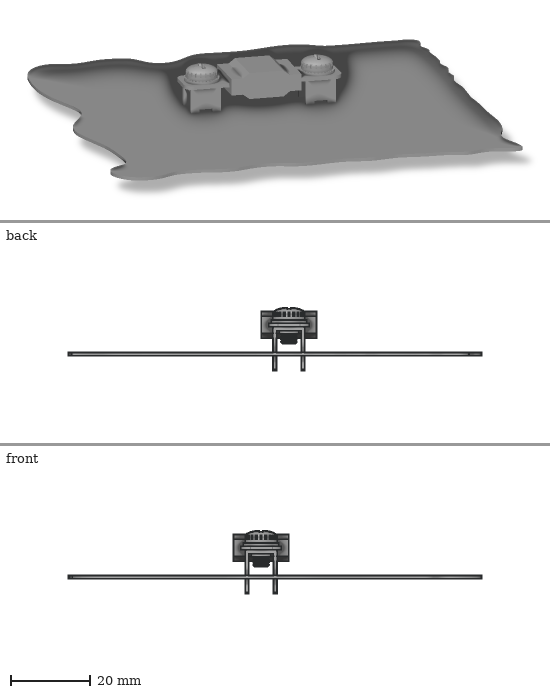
import cadquery as cq
import math


BOARD_THICKNESS = 0.8
BOARD_EDGE = [
    (-45.3, 49.4), (-44.8, 52.0), (-43.7, 53.2), (-41.4, 53.0), (-39.3, 52.4), (-37.2, 53.0),
    (-35.0, 53.7), (-33.6, 53.4), (-30.2, 53.6), (-27.3, 53.8), (-24.5, 53.7), (-22.7, 53.3),
    (-19.2, 54.1), (-17.4, 54.0), (-15.1, 53.3), (-11.3, 53.7), (-7.5, 52.7), (-2.5, 53.2),
    (4.5, 53.0), (8.0, 52.9), (12.3, 53.4), (19.4, 53.5), (25.7, 54.0), (33.6, 54.0),
    (37.1, 53.4), (42.0, 51.7), (46.0, 51.7), (49.1, 52.9), (52.6, 54.0), (54.3, 53.9),
    (54.7, 52.7), (54.3, 50.2), (53.5, 46.7), (53.7, 43.5), (54.6, 39.9), (53.7, 35.4),
    (53.4, 29.0), (52.8, 24.8), (52.6, 21.2), (53.5, 15.6), (53.4, 13.4), (52.6, 8.5),
    (52.8, 4.2), (53.5, -0.7), (53.3, -5.0), (52.0, -9.2), (51.8, -13.4), (52.3, -16.3),
    (53.4, -19.8), (53.4, -25.4), (52.6, -29.0), (52.4, -33.2), (52.8, -36.1), (54.4, -39.3),
    (55.5, -42.5), (55.5, -44.6), (54.4, -48.1), (51.2, -50.9), (47.8, -51.7), (45.2, -50.3),
    (42.4, -46.3), (39.9, -45.5), (35.7, -45.6), (26.5, -46.9), (17.7, -49.7), (10.9, -51.0),
    (5.9, -50.1), (0.3, -47.0), (-5.7, -45.1), (-9.6, -45.8), (-18.8, -49.0), (-28.0, -50.6),
    (-35.0, -50.5), (-40.8, -49.4), (-45.3, -46.7), (-47.4, -42.8), (-47.4, -41.0), (-46.4, -36.1),
    (-47.9, -29.6), (-48.1, -25.4), (-46.8, -20.9), (-42.1, -16.8), (-41.2, -14.2), (-41.6, -11.3),
    (-43.7, -8.2), (-46.4, -4.2), (-46.7, -0.7), (-46.4, 3.5), (-46.4, 8.5), (-48.2, 16.6),
    (-48.5, 21.2), (-47.6, 24.8), (-45.3, 29.0), (-45.0, 31.9), (-45.1, 38.2), (-45.3, 43.1),
]

BLADE_LENGTH = 41.1
BLADE_WIDTH = 10.2
BLADE_THICKNESS = 1.0
BLADE_CORNER_RADIUS = 2.3
BLADE_UNDERSIDE_Z = 6.5
BLADE_MID_Z = BLADE_UNDERSIDE_Z + BLADE_THICKNESS / 2
BLADE_TOP_Z = BLADE_UNDERSIDE_Z + BLADE_THICKNESS
FUSE_WIDTH = 14.0
FUSE_END_HALF_LENGTH = 9.1
FUSE_END_HALF_HEIGHT = 2.1
FUSE_SLOPE_FOOT_Y = 6.1
FUSE_MIDDLE_HALF_LENGTH = 4.4
FUSE_MIDDLE_HALF_HEIGHT = 3.4

SCREW_SPACING = 30.1
TERMINAL_WIDTH = 8.0
TERMINAL_DEPTH = 7.8
TERMINAL_THICKNESS = 1.0
TERMINAL_BEND_RADIUS = 0.3
PIN_LENGTH = 4.7
PIN_INNER_Y = 1.7
PIN_OUTER_Y = 3.4
PIN_TIP_CHAMFER = 0.4
LEG_NOTCH_HEIGHT = 0.8
COLLAR_DIAMETER = 5.0
COLLAR_HEIGHT = 0.8

WASHER_DIAMETER = 9.0
WASHER_THICKNESS = 0.8
CLEARANCE_HOLE_DIAMETER = 4.3
TOOTH_COUNT = 32
TOOTH_LENGTH = 0.4
TOOTH_HEIGHT = 0.2

SHANK_DIAMETER = 4.0
SHANK_TIP_Z = 2.2
SHANK_TIP_CHAMFER = 0.4
THREAD_ROOT_DIAMETER = 3.3
THREAD_PITCH = 0.6
HEAD_DIAMETER = 8.0
HEAD_RIM_HEIGHT = 1.5
HEAD_HEIGHT = 3.1
KNURL_COUNT = 20
KNURL_DEPTH = 0.2
KNURL_WIDTH = 0.4
KNURL_BASE_HEIGHT = 0.8
KNURL_TOP_HEIGHT = 1.9
RECESS_LENGTH = 5.1
RECESS_FLOOR_LENGTH = 3.4
RECESS_WIDTH = 1.0
RECESS_DEPTH = 1.3
RECESS_CENTRE_DIAMETER = 1.9

WASHER_TOP_Z = BLADE_TOP_Z + WASHER_THICKNESS
TERMINAL_SHOULDER_Z = BLADE_UNDERSIDE_Z - TERMINAL_THICKNESS
COLLAR_BOTTOM_Z = TERMINAL_SHOULDER_Z - COLLAR_HEIGHT


def box_between(x_range, y_range, z_range):
    """A box given by its lower and upper limits along each axis."""
    size = [high - low for low, high in (x_range, y_range, z_range)]
    corner = (x_range[0], y_range[0], z_range[0])
    return cq.Workplane("XY").box(*size, centered=False).translate(corner)


def cylinder(diameter, bottom_z, top_z):
    """A cylinder on the Z axis."""
    return cq.Workplane("XY").workplane(offset=bottom_z).circle(diameter / 2).extrude(top_z - bottom_z)


def spread_around(shape, count):
    """Copies of a shape turned about the Z axis in equal steps."""
    return [shape.rotate((0, 0, 0), (0, 0, 1), 360 / count * i) for i in range(count)]


def cut_each(body, cutters):
    """The body with every cutter removed in one step."""
    return body.cut(cq.Workplane(cq.Compound.makeCompound([cutter.val() for cutter in cutters])))


def terminal_pins():
    """The four pins of one terminal, reaching from its legs to their chamfered tips."""
    inner_x = TERMINAL_WIDTH / 2 - TERMINAL_THICKNESS
    pin = (
        box_between((inner_x, TERMINAL_WIDTH / 2), (PIN_INNER_Y, PIN_OUTER_Y), (-PIN_LENGTH, 0))
        .faces("<Z").edges("|X").chamfer(PIN_TIP_CHAMFER)
    )
    pins = pin.union(pin.mirror("XZ"))
    return pins.union(pins.mirror("YZ"))


def make_board(screw_places):
    """The board, with a slot for each terminal pin."""
    board = (
        cq.Workplane("XY").workplane(offset=-BOARD_THICKNESS)
        .spline(BOARD_EDGE, periodic=True).close().extrude(BOARD_THICKNESS)
    )
    for y in screw_places:
        board = board.cut(terminal_pins().translate((0, y, 0)))
    return board


def make_fuse(screw_places):
    """The fuse body, thicker in the middle, moulded around the flat blade."""
    upper_outline = [
        (-FUSE_END_HALF_LENGTH, FUSE_END_HALF_HEIGHT),
        (-FUSE_SLOPE_FOOT_Y, FUSE_END_HALF_HEIGHT),
        (-FUSE_MIDDLE_HALF_LENGTH, FUSE_MIDDLE_HALF_HEIGHT),
        (FUSE_MIDDLE_HALF_LENGTH, FUSE_MIDDLE_HALF_HEIGHT),
        (FUSE_SLOPE_FOOT_Y, FUSE_END_HALF_HEIGHT),
        (FUSE_END_HALF_LENGTH, FUSE_END_HALF_HEIGHT),
    ]
    lower_outline = [(y, -z) for y, z in reversed(upper_outline)]
    body = (
        cq.Workplane("YZ").polyline(upper_outline + lower_outline).close()
        .extrude(FUSE_WIDTH / 2, both=True).translate((0, 0, BLADE_MID_Z))
    )
    blade = (
        cq.Workplane("XY").workplane(offset=BLADE_UNDERSIDE_Z)
        .rect(BLADE_WIDTH, BLADE_LENGTH).extrude(BLADE_THICKNESS)
        .edges("|Z").fillet(BLADE_CORNER_RADIUS)
        .faces(">Z").workplane(origin=(0, 0, BLADE_TOP_Z))
        .pushPoints([(0, y) for y in screw_places]).hole(CLEARANCE_HOLE_DIAMETER)
    )
    return body.union(blade)


def make_terminal():
    """A bracket open along Y, standing on the board with four pins and a collar for the screw."""
    half_width = TERMINAL_WIDTH / 2
    half_depth = TERMINAL_DEPTH / 2
    inner_x = half_width - TERMINAL_THICKNESS
    bracket = box_between(
        (-half_width, half_width), (-half_depth, half_depth), (0, BLADE_UNDERSIDE_Z)
    ).edges("|Y and >Z").fillet(TERMINAL_BEND_RADIUS)
    space_between_legs = box_between(
        (-inner_x, inner_x), (-half_depth, half_depth), (0, TERMINAL_SHOULDER_Z)
    )
    leg_notch = box_between(
        (-half_width, half_width), (-PIN_INNER_Y, PIN_INNER_Y), (0, LEG_NOTCH_HEIGHT)
    )
    collar = cylinder(COLLAR_DIAMETER, COLLAR_BOTTOM_Z, TERMINAL_SHOULDER_Z)
    screw_hole = cylinder(SHANK_DIAMETER, COLLAR_BOTTOM_Z, BLADE_UNDERSIDE_Z)
    return (
        bracket.cut(space_between_legs).cut(leg_notch)
        .union(terminal_pins()).union(collar).cut(screw_hole)
    )


def make_washer():
    """A ring whose top rim is notched into teeth."""
    ring = cylinder(WASHER_DIAMETER, BLADE_TOP_Z, WASHER_TOP_Z).cut(
        cylinder(CLEARANCE_HOLE_DIAMETER, BLADE_TOP_Z, WASHER_TOP_Z)
    )
    gap_width = math.pi * WASHER_DIAMETER / TOOTH_COUNT / 2
    gap = box_between(
        (WASHER_DIAMETER / 2 - TOOTH_LENGTH, WASHER_DIAMETER / 2 + TOOTH_LENGTH),
        (-gap_width / 2, gap_width / 2),
        (WASHER_TOP_Z - TOOTH_HEIGHT, WASHER_TOP_Z),
    )
    return cut_each(ring, spread_around(gap, TOOTH_COUNT))


def screw_blank():
    """The turned shape of the screw: domed head, plain shank and ridged thread."""
    shank_radius = SHANK_DIAMETER / 2
    root_radius = THREAD_ROOT_DIAMETER / 2
    head_radius = HEAD_DIAMETER / 2
    dome_height = HEAD_HEIGHT - HEAD_RIM_HEIGHT

    profile = cq.Workplane("XZ").moveTo(0, SHANK_TIP_Z)
    profile = profile.lineTo(shank_radius - SHANK_TIP_CHAMFER, SHANK_TIP_Z)
    profile = profile.lineTo(shank_radius, SHANK_TIP_Z + SHANK_TIP_CHAMFER)
    thread_bottom_z = SHANK_TIP_Z + SHANK_TIP_CHAMFER
    ridge_count = math.floor((COLLAR_BOTTOM_Z - thread_bottom_z) / THREAD_PITCH)
    for i in range(ridge_count):
        ridge_z = thread_bottom_z + i * THREAD_PITCH
        profile = profile.lineTo(root_radius, ridge_z + THREAD_PITCH / 2)
        profile = profile.lineTo(shank_radius, ridge_z + THREAD_PITCH)
    return (
        profile.lineTo(shank_radius, WASHER_TOP_Z)
        .lineTo(head_radius, WASHER_TOP_Z)
        .lineTo(head_radius, WASHER_TOP_Z + HEAD_RIM_HEIGHT)
        .ellipseArc(head_radius, dome_height, 0, 90, sense=1)
        .close().revolve(360, (0, 0, 0), (0, 1, 0))
    )


def make_screw():
    """A screw with its cross recess and the knurl grooves around its head."""
    top_z = WASHER_TOP_Z + HEAD_HEIGHT
    floor_z = top_z - RECESS_DEPTH
    half_length = RECESS_LENGTH / 2
    half_floor = RECESS_FLOOR_LENGTH / 2
    slot = (
        cq.Workplane("XZ")
        .polyline([
            (-half_length, top_z), (half_length, top_z),
            (half_floor, floor_z), (-half_floor, floor_z),
        ])
        .close().extrude(RECESS_WIDTH / 2, both=True)
    )
    recess = (
        slot.union(slot.rotate((0, 0, 0), (0, 0, 1), 90))
        .union(cylinder(RECESS_CENTRE_DIAMETER, floor_z, top_z))
    )
    knurl_groove = box_between(
        (HEAD_DIAMETER / 2 - KNURL_DEPTH, HEAD_DIAMETER / 2 + KNURL_DEPTH),
        (-KNURL_WIDTH / 2, KNURL_WIDTH / 2),
        (WASHER_TOP_Z + KNURL_BASE_HEIGHT, WASHER_TOP_Z + KNURL_TOP_HEIGHT),
    )
    return cut_each(screw_blank().cut(recess), spread_around(knurl_groove, KNURL_COUNT))


screw_places = [-SCREW_SPACING / 2, SCREW_SPACING / 2]

board = make_board(screw_places)
fuse = make_fuse(screw_places)
terminals = [make_terminal().translate((0, y, 0)) for y in screw_places]
washers = [make_washer().translate((0, y, 0)) for y in screw_places]
screws = [make_screw().translate((0, y, 0)) for y in screw_places]

result = cq.Compound.makeCompound(
    [board.val(), fuse.val()] + [body.val() for body in terminals + washers + screws]
)